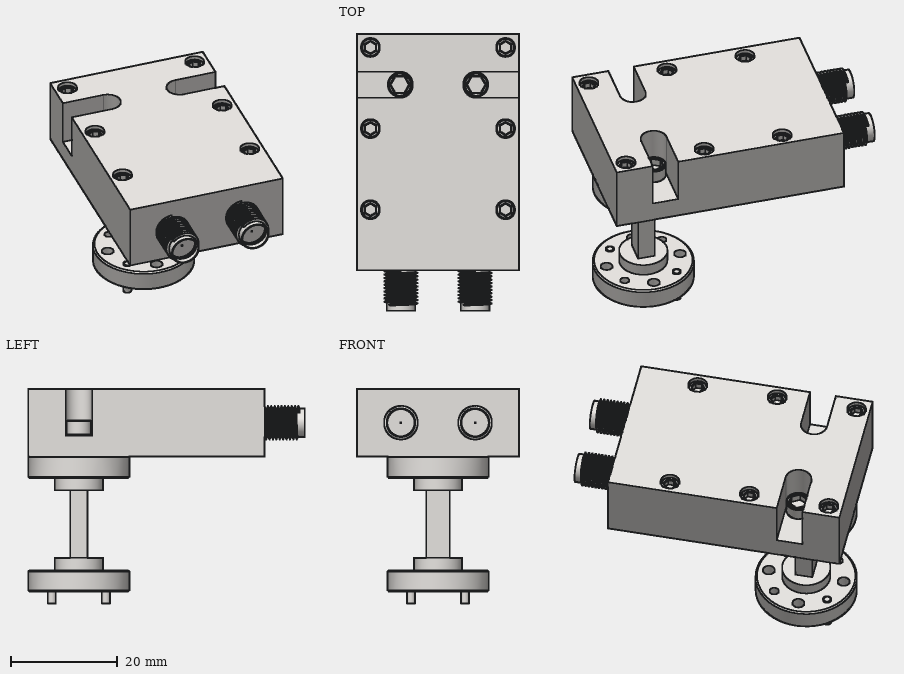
import cadquery as cq
import math


SIDES = (-1, 1)

HOUSING_WIDTH = 30.45
HOUSING_LENGTH = 44.4
HOUSING_HEIGHT = 12.75

FLANGE_DIAMETER = 19.1
FLANGE_THICKNESS = 4.05
FLANGE_CHAMFER = 0.3
FLANGE_SEAT_CHAMFER = 0.15
COLLAR_DIAMETER = 9.1
COLLAR_HEIGHT = 2.3
TUBE_WIDTH = 4.4
TUBE_DEPTH = 3.3
TUBE_LENGTH = 12.7
TUBE_Y = -FLANGE_DIAMETER / 2

BOLT_CIRCLE_RADIUS = 7.15
CLEARANCE_HOLE_ANGLES = (0, 90, 180, 270)
DOWEL_HOLE_ANGLES = (135, 315)
DOWEL_ANGLES = (45, 225)
CLEARANCE_HOLE_DIAMETER = 2.25
DOWEL_DIAMETER = 1.55
DOWEL_HOLE_DIAMETER = 1.7
DOWEL_LENGTH = 2.3
DOWEL_CHAMFER = 0.15

SLOT_WIDTH = 4.95
SLOT_DEPTH = 8.85
FLANGE_HEAD_DIAMETER = 4.5
FLANGE_HEAD_HEIGHT = 2.95
FLANGE_HEAD_TOP_CHAMFER = 0.2
FLANGE_HEAD_BOTTOM_CHAMFER = 0.3
FLANGE_SOCKET_WIDTH = 2.95
FLANGE_SOCKET_DEPTH = 1.55

COVER_SCREW_X = 12.7
COVER_SCREW_BACK_INSET = 2.55
COVER_SCREW_PITCH = 15.25
COVER_SCREW_ROWS = 3
COVER_HEAD_DIAMETER = 3.6
COVER_HEAD_RECESS = 0.6
COVER_HEAD_CHAMFER = 0.2
COVER_SOCKET_WIDTH = 1.9
COVER_SOCKET_DEPTH = 1.3

SOCKET_BEVEL = 0.15

POINT_ALONG_X = 0
POINT_ALONG_Y = 30

CONNECTOR_X = 6.95
OVERALL_LENGTH = 52.0
CONNECTOR_LENGTH = OVERALL_LENGTH - HOUSING_LENGTH
BARREL_DIAMETER = 5.4
BORE_DIAMETER = 5.1
BORE_DEPTH = 1.8
CONTACT_HOLE_DIAMETER = 0.2
CONTACT_HOLE_DEPTH = 0.5
THREAD_DIAMETER = 6.35
THREAD_TURNS = 10 + 1 / 8
THREAD_LENGTH = 6.45
THREAD_BASE = 0.45
THREAD_START_ANGLE = 90
THREAD_ROOT_OVERLAP = 0.1


def disc(diameter, height, x, y, bottom):
    """Upright cylinder standing on the level `bottom`."""
    return cq.Workplane("XY", origin=(x, y, bottom)).circle(diameter / 2).extrude(height)


def hex_socket(width, depth, x, y, top, turn):
    """Cutter for a bevelled hexagon socket, `width` across flats, its first corner `turn` degrees from +X."""
    corner_diameter = width / math.cos(math.pi / 6)
    mouth_diameter = (width + 2 * SOCKET_BEVEL) / math.cos(math.pi / 6)
    shaft = cq.Workplane("XY").polygon(6, corner_diameter).extrude(-depth)
    mouth = cq.Workplane("XY").polygon(6, mouth_diameter).extrude(-SOCKET_BEVEL, taper=45)
    return shaft.union(mouth).rotate((0, 0, 0), (0, 0, 1), turn).translate((x, y, top))


def bolt_circle_point(angle):
    """Position on the flange bolt circle, `angle` degrees from +X."""
    turn = math.radians(angle)
    x = BOLT_CIRCLE_RADIUS * math.cos(turn)
    y = TUBE_Y + BOLT_CIRCLE_RADIUS * math.sin(turn)
    return x, y


def make_block():
    block = cq.Workplane("XY").box(
        HOUSING_WIDTH, HOUSING_LENGTH, HOUSING_HEIGHT, centered=(True, False, False)
    )
    return block.translate((0, -HOUSING_LENGTH, 0))


def sink_cover_screw(body, x, y):
    """Counterbore the top face down to a chamfered screw head with a hexagon socket."""
    head_top = HOUSING_HEIGHT - COVER_HEAD_RECESS
    head_rim = head_top - COVER_HEAD_CHAMFER
    counterbore = disc(COVER_HEAD_DIAMETER, HOUSING_HEIGHT - head_rim, x, y, head_rim)
    head = cq.Workplane("XY", origin=(x, y, head_rim)).circle(COVER_HEAD_DIAMETER / 2)
    head = head.extrude(COVER_HEAD_CHAMFER, taper=45)
    socket = hex_socket(COVER_SOCKET_WIDTH, COVER_SOCKET_DEPTH, x, y, head_top, POINT_ALONG_Y)
    return body.cut(counterbore.cut(head)).cut(socket)


def add_side_slot(body, side):
    """Cut the slot of one side and leave a flange screw head on its floor."""
    x = side * BOLT_CIRCLE_RADIUS
    floor = HOUSING_HEIGHT - SLOT_DEPTH
    run_out = HOUSING_WIDTH / 2 - BOLT_CIRCLE_RADIUS
    slot = disc(SLOT_WIDTH, SLOT_DEPTH, x, TUBE_Y, floor)
    channel = cq.Workplane("XY").box(run_out, SLOT_WIDTH, SLOT_DEPTH, centered=(True, True, False))
    slot = slot.union(channel.translate((x + side * run_out / 2, TUBE_Y, floor)))
    head = disc(FLANGE_HEAD_DIAMETER, FLANGE_HEAD_HEIGHT, x, TUBE_Y, floor)
    head = head.faces(">Z").edges().chamfer(FLANGE_HEAD_TOP_CHAMFER)
    head = head.faces("<Z").edges().chamfer(FLANGE_HEAD_BOTTOM_CHAMFER)
    head_top = floor + FLANGE_HEAD_HEIGHT
    socket = hex_socket(FLANGE_SOCKET_WIDTH, FLANGE_SOCKET_DEPTH, x, TUBE_Y, head_top, POINT_ALONG_X)
    return body.cut(slot).union(head.cut(socket))


def make_lower_flange(bottom):
    """Chamfered flange with its holes and two dowels that stick out below."""
    flange = disc(FLANGE_DIAMETER, FLANGE_THICKNESS, 0, TUBE_Y, bottom)
    flange = flange.edges().chamfer(FLANGE_CHAMFER)
    for angle in CLEARANCE_HOLE_ANGLES:
        x, y = bolt_circle_point(angle)
        flange = flange.cut(disc(CLEARANCE_HOLE_DIAMETER, FLANGE_THICKNESS, x, y, bottom))
    for angle in DOWEL_HOLE_ANGLES:
        x, y = bolt_circle_point(angle)
        flange = flange.cut(disc(DOWEL_HOLE_DIAMETER, FLANGE_THICKNESS, x, y, bottom))
    for angle in DOWEL_ANGLES:
        x, y = bolt_circle_point(angle)
        flange = flange.cut(disc(DOWEL_DIAMETER, FLANGE_THICKNESS, x, y, bottom))
        dowel = disc(DOWEL_DIAMETER, FLANGE_THICKNESS + DOWEL_LENGTH, x, y, bottom - DOWEL_LENGTH)
        flange = flange.union(dowel.edges().chamfer(DOWEL_CHAMFER))
    return flange


def make_waveguide():
    """Chamfered upper flange, collar, rectangular tube, collar and lower flange, hung from Z = 0."""
    upper_flange_bottom = -FLANGE_THICKNESS
    tube_top = upper_flange_bottom - COLLAR_HEIGHT
    tube_bottom = tube_top - TUBE_LENGTH
    lower_flange_top = tube_bottom - COLLAR_HEIGHT
    upper_flange = disc(FLANGE_DIAMETER, FLANGE_THICKNESS, 0, TUBE_Y, upper_flange_bottom)
    upper_flange = upper_flange.faces("<Z").edges().chamfer(FLANGE_CHAMFER)
    upper_flange = upper_flange.faces(">Z").edges().chamfer(FLANGE_SEAT_CHAMFER)
    tube = cq.Workplane("XY").box(TUBE_WIDTH, TUBE_DEPTH, TUBE_LENGTH, centered=(True, True, False))
    return (
        upper_flange
        .union(disc(COLLAR_DIAMETER, COLLAR_HEIGHT, 0, TUBE_Y, tube_top))
        .union(tube.translate((0, TUBE_Y, tube_bottom)))
        .union(disc(COLLAR_DIAMETER, COLLAR_HEIGHT, 0, TUBE_Y, lower_flange_top))
        .union(make_lower_flange(lower_flange_top - FLANGE_THICKNESS))
    )


def make_housing():
    """Block, screw heads and waveguide column as one body."""
    body = make_block()
    for side in SIDES:
        body = add_side_slot(body, side)
        for row in range(COVER_SCREW_ROWS):
            y = -COVER_SCREW_BACK_INSET - row * COVER_SCREW_PITCH
            body = sink_cover_screw(body, side * COVER_SCREW_X, y)
    return body.union(make_waveguide())


def make_thread():
    """Right-handed ridge of triangular section winding up along +Z, trimmed flat at Z = 0."""
    root = BARREL_DIAMETER / 2 - THREAD_ROOT_OVERLAP
    helix = cq.Wire.makeHelix(THREAD_LENGTH / THREAD_TURNS, THREAD_LENGTH, root)
    section = cq.Workplane("XZ").polyline(
        [(root, -THREAD_BASE / 2), (THREAD_DIAMETER / 2, 0), (root, THREAD_BASE / 2)]
    ).close()
    ridge = section.sweep(cq.Workplane(obj=helix), isFrenet=True)
    ridge = ridge.cut(disc(2 * THREAD_DIAMETER, THREAD_BASE, 0, 0, -THREAD_BASE))
    return ridge.rotate((0, 0, 0), (0, 0, 1), THREAD_START_ANGLE)


def make_connector(x):
    """Threaded barrel along -Y, bored at its open end, with a fine contact hole in the bore floor."""
    bore_floor = CONNECTOR_LENGTH - BORE_DEPTH
    connector = (
        disc(BARREL_DIAMETER, CONNECTOR_LENGTH, 0, 0, 0)
        .union(make_thread())
        .cut(disc(BORE_DIAMETER, BORE_DEPTH, 0, 0, bore_floor))
        .cut(disc(CONTACT_HOLE_DIAMETER, CONTACT_HOLE_DEPTH, 0, 0, bore_floor - CONTACT_HOLE_DEPTH))
    )
    upright = connector.rotate((0, 0, 0), (1, 0, 0), 90)
    return upright.translate((x, -HOUSING_LENGTH, HOUSING_HEIGHT / 2))


housing = make_housing()
connectors = [make_connector(side * CONNECTOR_X) for side in SIDES]

result = cq.Compound.makeCompound([housing.val(), *[connector.val() for connector in connectors]])